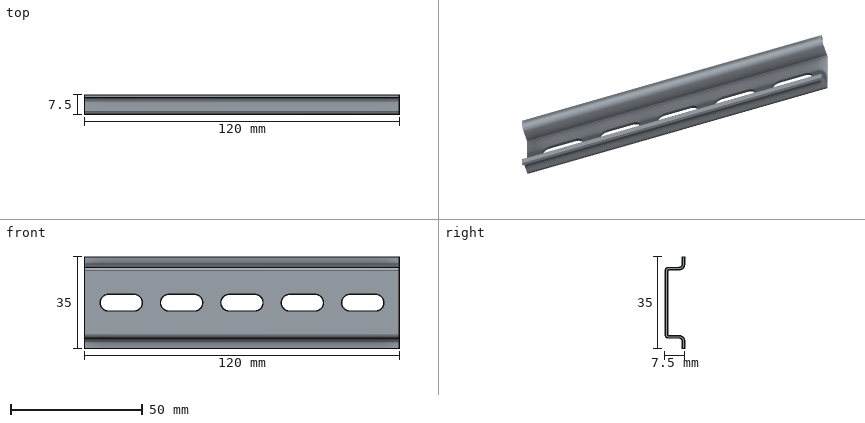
import cadquery as cq

RAIL_LENGTH = 120.0
RAIL_DEPTH = 7.5
RAIL_WIDTH = 35.0
CHANNEL_WIDTH = 27.0
THICKNESS = 1.0

WEB_BEND_RADIUS = 0.25
LIP_BEND_RADIUS = 1.25

SLOT_COUNT = 5
SLOT_PITCH = 23.0
SLOT_LENGTH = 16.0
SLOT_WIDTH = 6.3

WEB_FACE_Y = -RAIL_DEPTH / 2
LIP_FACE_Y = RAIL_DEPTH / 2


def sharp_section():
    """Hat section in the YZ plane, still with sharp corners, extruded along X."""
    edge_z = RAIL_WIDTH / 2
    wall_z = CHANNEL_WIDTH / 2
    wall_inner_z = wall_z - THICKNESS
    web_inner_y = WEB_FACE_Y + THICKNESS
    lip_front_y = LIP_FACE_Y - THICKNESS
    upper_half = [
        (web_inner_y, 0),
        (web_inner_y, wall_inner_z),
        (LIP_FACE_Y, wall_inner_z),
        (LIP_FACE_Y, edge_z),
        (lip_front_y, edge_z),
        (lip_front_y, wall_z),
        (WEB_FACE_Y, wall_z),
        (WEB_FACE_Y, 0),
    ]
    half = (
        cq.Workplane("YZ")
        .polyline(upper_half)
        .close()
        .extrude(RAIL_LENGTH / 2, both=True)
    )
    return half.union(half.mirror("XY")).clean()


def round_corners(rail, y, z, radius):
    """Round the mirrored pair of lengthwise edges at (y, +z) and (y, -z)."""
    for side in (1, -1):
        edge = cq.selectors.NearestToPointSelector((0, y, side * z))
        rail = rail.edges("|X").edges(edge).fillet(radius)
    return rail


def bend_sheet(rail):
    """Give every bend concentric inner and outer radii."""
    wall_z = CHANNEL_WIDTH / 2
    wall_inner_z = wall_z - THICKNESS
    rail = round_corners(rail, WEB_FACE_Y, wall_z, WEB_BEND_RADIUS + THICKNESS)
    rail = round_corners(rail, WEB_FACE_Y + THICKNESS, wall_inner_z, WEB_BEND_RADIUS)
    rail = round_corners(rail, LIP_FACE_Y, wall_inner_z, LIP_BEND_RADIUS + THICKNESS)
    rail = round_corners(rail, LIP_FACE_Y - THICKNESS, wall_z, LIP_BEND_RADIUS)
    return rail


def mounting_slots():
    """Row of round-ended cutters passing through the web along Y."""
    return (
        cq.Workplane("XZ", origin=(0, WEB_FACE_Y, 0))
        .rarray(SLOT_PITCH, 1, SLOT_COUNT, 1)
        .slot2D(SLOT_LENGTH, SLOT_WIDTH)
        .extrude(THICKNESS, both=True)
    )


result = bend_sheet(sharp_section()).cut(mounting_slots())